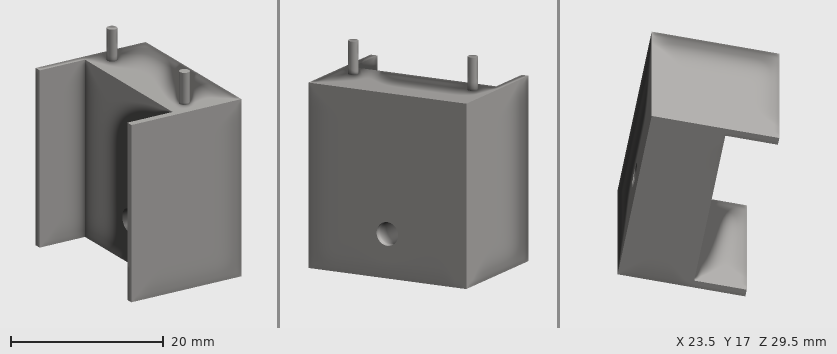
import cadquery as cq

width = 23.5
height = 25.0
block_depth = 10.0
flange_length = 7.0
flange_thickness = 1.0

hole_diameter = 3.2
hole_height = 6.0

pin_diameter = 1.4
pin_length = 4.5
pin_spacing = 17.8
pin_to_back = 7.0

total_depth = block_depth + flange_length
back_y = total_depth / 2
front_y = -total_depth / 2


def make_body():
    """Block with the channel between the flanges cut out, base at Z = 0."""
    body = cq.Workplane("XY").box(width, total_depth, height, centered=(True, True, False))
    channel = (
        cq.Workplane("XY")
        .box(width - 2 * flange_thickness, flange_length, height, centered=(True, False, False))
        .translate((0, front_y, 0))
    )
    return body.cut(channel)


def make_hole():
    """Cylinder that pierces the block from its channel face to its back."""
    return (
        cq.Workplane("XZ", origin=(0, back_y, hole_height))
        .circle(hole_diameter / 2)
        .extrude(block_depth)
    )


def make_pins():
    """Pair of round pins standing on the top face."""
    return (
        cq.Workplane("XY", origin=(0, back_y - pin_to_back, height))
        .pushPoints([(-pin_spacing / 2, 0), (pin_spacing / 2, 0)])
        .circle(pin_diameter / 2)
        .extrude(pin_length)
    )


result = make_body().cut(make_hole()).union(make_pins())